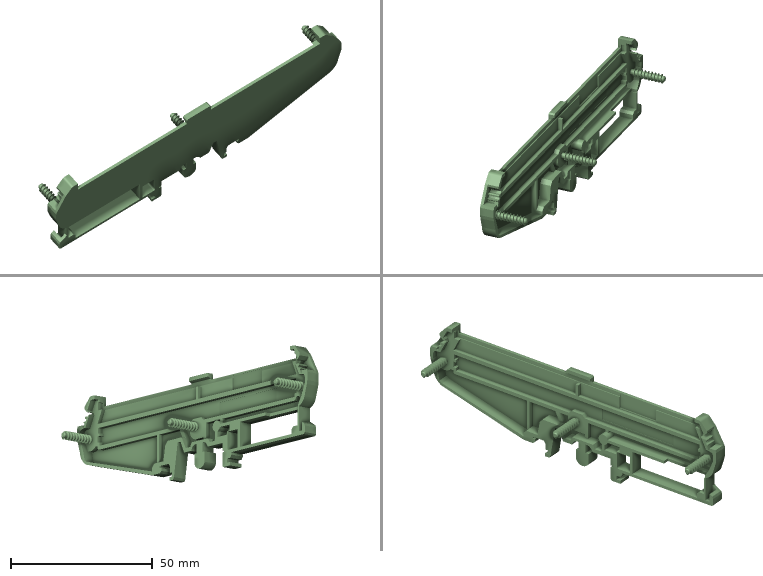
import cadquery as cq
THICKNESS = 5.3
PAD_LEVEL = 2.3
PANEL_LEVEL = 3.8
FLOOR_LEVEL = 4.1
LABEL_LEVEL = 4.3

CLEAR = 1.3

RAIL_TOP = 34.1
RAIL_BOTTOM = 32.6
MID_RIB_TOP = 27.7
MID_RIB_BOTTOM = 26.2
LOW_RIB_TOP = 19.7
LOW_RIB_BOTTOM = 18.3
HALF_LENGTH = 62.7
ARM_Y = 53.2
ARM_TOP = 37.6
EAR_BOTTOM = 27.8
EAR_CORNER = 26.8

TAB_HALF_LENGTH = 5.3
TAB_TOP = 36.5
TAB_FRONT = 3.0
TAB_BOTTOM = 35.1
TAB_LIP = 34.5
TAB_CHAMFER = 0.5

POST_Y = -13.2
POST_Z = 15.4
POST_RADIUS = 2.0
NECK_HALF_WIDTH = 0.6
NECK_FOOT = 10.3
SHELF_TOP = 15.9
SHELF_BOTTOM = 14.8
SHELF_STEP_Y = -39.9
SHELF_END_Y = -57.7
CENTRE_RIB_HALF_WIDTH = 0.56
CENTRE_RIB_TOP = 32.2

CATCH_Y = -58.0
CATCH_SLOT_WIDTH = 1.8
CATCH_SLOT_FLOOR = 6.1
SILL = 5.8
WINDOW_FILLET = 0.6

END_SCREW = (57.8, 22.6)
CENTRE_SCREW = (0.0, 17.5)
SCREW_PLACES = [END_SCREW, CENTRE_SCREW, (-END_SCREW[0], END_SCREW[1])]
SCREW_TIP = -10.8
SCREW_SEAT = 3.8
CORE_RADIUS = 1.07
CREST_RADIUS = 1.6
TIP_CHAMFER = 0.31
THREAD_TURNS = 9
THREAD_ROOT_WIDTH = 0.6
THREAD_CREST_WIDTH = 0.19
THREAD_SINK = 0.1
THREAD_MARGIN = 0.4


def slab(outline, front, back):
    """Extrude a closed (Y, Z) outline, point list or workplane wire, from X = front to X = back."""
    if isinstance(outline, list):
        outline = cq.Workplane("YZ").polyline(outline).close()
    return outline.extrude(back - front).translate((front, 0, 0))


def block(y0, y1, z0, z1, front, back):
    """Box from its limits along Y, Z and X."""
    return slab([(y0, z0), (y1, z0), (y1, z1), (y0, z1)], front, back)


def mirrored(points):
    """The same points on the other side of Y = 0, in reverse order."""
    return [(-y, z) for y, z in reversed(points)]


def both_ends(shape):
    return shape.union(shape.mirror("XZ"))


def body_block():
    """Full-depth block with the whole outer outline of the housing."""
    outline = (
        cq.Workplane("YZ")
        .moveTo(ARM_Y, RAIL_TOP)
        .lineTo(ARM_Y, ARM_TOP)
        .lineTo(54.9, ARM_TOP)
        .threePointArc((55.5, 37.5), (56.0, 37.1))
        .lineTo(58.5, 34.4)
        .lineTo(62.3, EAR_BOTTOM)
        .lineTo(HALF_LENGTH, EAR_CORNER)
        .lineTo(HALF_LENGTH, 23.8)
        .lineTo(62.5, 22.5)
        .lineTo(61.2, 18.3)
        .threePointArc((60.0, 15.2), (57.7, 13.3))
        .lineTo(21.8, 3.5)
        .lineTo(17.5, 3.5)
        .lineTo(16.8, 4.3)
        .lineTo(16.8, 5.3)
        .lineTo(17.7, 5.5)
        .lineTo(17.7, 6.1)
        .lineTo(12.8, 6.1)
        .lineTo(12.2, 5.0)
        .lineTo(12.2, 2.8)
        .lineTo(10.9, 2.8)
        .lineTo(10.9, 1.3)
        .lineTo(12.3, 1.3)
        .lineTo(12.3, 0.0)
        .lineTo(10.4, 0.0)
        .lineTo(9.9, 0.9)
        .lineTo(7.9, 13.0)
        .lineTo(6.4, 13.0)
        .lineTo(4.4, 8.8)
        .lineTo(0.5, 8.8)
        .threePointArc((-0.5, 10.3), (-2.4, 10.8))
        .lineTo(-2.4, 7.4)
        .lineTo(-1.3, 7.4)
        .lineTo(-1.3, 3.6)
        .threePointArc((-4.0, 1.6), (-6.8, 3.6))
        .lineTo(-6.8, 7.4)
        .lineTo(-5.5, 7.4)
        .lineTo(-5.5, 10.8)
        .threePointArc((-7.4, 10.3), (-8.4, 8.8))
        .lineTo(-16.4, 8.8)
        .lineTo(-16.4, 6.1)
        .lineTo(-17.4, 6.1)
        .lineTo(-17.4, 5.4)
        .lineTo(-16.4, 5.4)
        .lineTo(-16.4, 0.5)
        .lineTo(-16.9, 0.0)
        .lineTo(-20.7, 0.0)
        .lineTo(-20.7, 1.3)
        .lineTo(-19.0, 1.3)
        .lineTo(-19.0, 2.8)
        .lineTo(-20.7, 2.8)
        .lineTo(-21.5, 3.8)
        .lineTo(-21.3, 4.6)
        .lineTo(-60.8, 4.6)
        .lineTo(-61.3, 5.3)
        .lineTo(-61.3, 7.6)
        .lineTo(-61.0, 8.5)
        .lineTo(CATCH_Y, 10.3)
        .lineTo(CATCH_Y, 15.2)
        .threePointArc((-60.1, 16.4), (-61.2, 18.3))
        .lineTo(-62.5, 22.5)
        .lineTo(-HALF_LENGTH, 23.8)
        .lineTo(-HALF_LENGTH, EAR_CORNER)
        .lineTo(-62.3, EAR_BOTTOM)
        .lineTo(-58.5, 34.4)
        .lineTo(-56.0, 37.1)
        .threePointArc((-55.5, 37.5), (-54.9, ARM_TOP))
        .lineTo(-ARM_Y, ARM_TOP)
        .lineTo(-ARM_Y, RAIL_TOP)
        .close()
    )
    return slab(outline, 0, THICKNESS)


ARM_RECESS = [(ARM_Y - CLEAR, 36.2), (55.3, 36.2), (57.0, 32.9), (56.5, 32.1)]
SPRING_INNER_SIDE = [(55.9, 31.2), (58.2, 26.7)]
RIM_SHOULDER = [(60.2, 26.5), (61.0, 26.1), (61.3, 25.3), (61.3, 23.1)]
SLOPE_CORNERS = [(58.5, 15.0), (57.4, 14.3), (21.8, 4.9)]
ARCH_LEFT = [(5.8, 14.5), (3.5, 10.3), (1.0, 10.3), (0.4, 11.8)]
ARCH_RIGHT = [(-8.7, 11.8), (-9.5, 10.3), (-12.0, 10.3), (-12.7, 11.4)]
LEG_CORNERS = [(-18.8, 11.4), (-19.0, 12.7), (-20.3, 12.7), (-20.3, SHELF_BOTTOM)]
END_RIM_LOW = (59.5, 18.7)
PAD_ARC_MID = (57.3, 18.5)
PAD_CORNER = (55.3, LOW_RIB_TOP)


def main_recess():
    """Everything inside the rim, down to the pads and ribs."""
    upper_end = ARM_RECESS + SPRING_INNER_SIDE + RIM_SHOULDER + [END_RIM_LOW]
    left_foot = [(21.8, 6.3), (20.6, 7.5), (15.7, 7.5), (14.7, 13.0), (13.4, 14.5)]
    outline = (
        upper_end + SLOPE_CORNERS + left_foot + ARCH_LEFT + ARCH_RIGHT + LEG_CORNERS
        + [(SHELF_END_Y, SHELF_BOTTOM), (SHELF_END_Y, SHELF_TOP)] + mirrored(upper_end)
    )
    return slab(outline, -CLEAR, PAD_LEVEL)


def ear_recess():
    """Ear pocket; its inner edge leaves a thin slanted spring bar with two teeth."""
    ear_end = HALF_LENGTH + CLEAR
    spring_teeth = [
        (56.9, 30.6), (57.8, 30.7), (58.3, 30.5), (58.3, 30.0), (57.5, 29.6),
        (58.0, 29.0), (59.1, 29.0), (59.1, 28.6), (58.7, 28.2), (59.3, 26.7),
    ]
    outline = (
        [(58.5, 35.1), (58.5, 33.5), (57.4, 32.2), (56.5, 32.1), (55.9, 31.2)] + spring_teeth
        + [(59.8, 27.2), (59.8, EAR_BOTTOM), (ear_end, EAR_BOTTOM), (ear_end, 35.1)]
    )
    return both_ends(slab(outline, -CLEAR, FLOOR_LEVEL))


def rail_recess():
    rail_end = 53.8
    return block(-rail_end, rail_end, RAIL_BOTTOM, RAIL_TOP + CLEAR, -CLEAR, FLOOR_LEVEL)


def upper_pocket():
    end = [(51.8, RAIL_BOTTOM), (54.2, MID_RIB_TOP)]
    return slab(end + mirrored(end), -CLEAR, PANEL_LEVEL)


def middle_pocket():
    """Long pocket between the ribs, keyed at both ends, with a hump over the centre screw."""
    key = [
        (53.8, MID_RIB_BOTTOM), (53.8, 24.2), (53.0, 24.2), (53.0, 23.2), (54.2, 23.2),
        (54.2, 21.0), (53.0, 21.0), (53.0, LOW_RIB_TOP),
    ]
    hump = [(3.5, LOW_RIB_TOP), (2.3, 20.8)]
    return slab(key + hump + mirrored(hump) + mirrored(key), -CLEAR, FLOOR_LEVEL)


def slope_pocket():
    """Triangular pocket above the sloping underside."""
    outline = (
        cq.Workplane("YZ")
        .moveTo(*END_RIM_LOW)
        .threePointArc(PAD_ARC_MID, PAD_CORNER)
        .lineTo(54.2, LOW_RIB_TOP)
        .lineTo(54.2, 18.7)
        .lineTo(53.3, LOW_RIB_BOTTOM)
        .lineTo(21.8, LOW_RIB_BOTTOM)
    )
    for corner in reversed(SLOPE_CORNERS):
        outline = outline.lineTo(*corner)
    return slab(outline.close(), PAD_LEVEL, FLOOR_LEVEL)


def foot_pocket():
    outline = [
        (20.7, LOW_RIB_BOTTOM), (9.5, LOW_RIB_BOTTOM), (7.6, 14.5), (13.4, 14.5),
        (14.7, 13.0), (15.7, 7.5), (20.7, 7.5),
    ]
    return slab(outline, PAD_LEVEL, FLOOR_LEVEL)


def arch_pocket():
    """Pocket that wraps round the pad of the centre screw."""
    outline = (
        cq.Workplane("YZ")
        .moveTo(-3.6, 11.8)
        .lineTo(-3.6, 13.3)
        .lineTo(0.8, 13.3)
        .threePointArc((3.0, 14.4), (3.9, 16.4))
        .lineTo(3.9, LOW_RIB_BOTTOM)
        .lineTo(7.9, LOW_RIB_BOTTOM)
    )
    for corner in ARCH_LEFT[1:]:
        outline = outline.lineTo(*corner)
    return slab(outline.close(), PAD_LEVEL, FLOOR_LEVEL)


def shelf_pocket():
    """Pocket from the centre rib to the right end, above and below the shelf."""
    rib_side = -4.8
    outline = (
        cq.Workplane("YZ")
        .moveTo(rib_side, ARCH_RIGHT[0][1])
        .lineTo(rib_side, LOW_RIB_BOTTOM)
        .lineTo(-53.3, LOW_RIB_BOTTOM)
        .lineTo(-54.2, LOW_RIB_TOP)
        .lineTo(-PAD_CORNER[0], PAD_CORNER[1])
        .threePointArc((-PAD_ARC_MID[0], PAD_ARC_MID[1]), (-END_RIM_LOW[0], END_RIM_LOW[1]))
        .lineTo(SHELF_END_Y, SHELF_TOP)
        .lineTo(SHELF_END_Y, SHELF_BOTTOM)
    )
    for corner in reversed(ARCH_RIGHT + LEG_CORNERS):
        outline = outline.lineTo(*corner)
    return slab(outline.close(), PAD_LEVEL, FLOOR_LEVEL)


def label_fields():
    depth = (PAD_LEVEL, LABEL_LEVEL)
    upper = block(-33.5, -17.5, 28.1, 33.5, *depth)
    lower = block(-41.0, -9.9, 20.6, 25.1, *depth)
    return upper.union(lower)


def windows():
    """Two windows through the frame below the shelf, and the slot in the end catch."""
    through = THICKNESS + CLEAR
    small = block(-24.8, -19.2, SILL, 12.4, -CLEAR, through)
    small = small.edges("|X and >Y").edges("<Z").fillet(WINDOW_FILLET)
    large = slab(
        [
            (-26.0, SILL), (-26.0, SHELF_BOTTOM), (-57.3, SHELF_BOTTOM), (-57.3, 8.4),
            (-55.0, 8.4), (-54.2, 7.5), (-54.2, SILL),
        ],
        -CLEAR, through,
    )
    slot_side = CATCH_Y - CATCH_SLOT_WIDTH
    catch_slot = block(slot_side, CATCH_Y, CATCH_SLOT_FLOOR, 11.3, -CLEAR, FLOOR_LEVEL)
    return small.union(large).union(catch_slot)


def centre_rib():
    half = CENTRE_RIB_HALF_WIDTH
    return block(-half, half, MID_RIB_TOP, CENTRE_RIB_TOP, PAD_LEVEL, THICKNESS)


def post_and_shelf():
    post = slab(cq.Workplane("YZ").center(POST_Y, POST_Z).circle(POST_RADIUS), 0, THICKNESS)
    left, right = POST_Y + NECK_HALF_WIDTH, POST_Y - NECK_HALF_WIDTH
    upper_neck = block(right, left, POST_Z, LOW_RIB_BOTTOM, PAD_LEVEL, THICKNESS)
    lower_neck = block(right, left, NECK_FOOT, POST_Z, 0, THICKNESS)
    high_shelf = block(SHELF_STEP_Y, POST_Y, SHELF_BOTTOM, SHELF_TOP, 0, THICKNESS)
    low_shelf = block(SHELF_END_Y, SHELF_STEP_Y, SHELF_BOTTOM, SHELF_TOP, PAD_LEVEL, THICKNESS)
    return post.union(upper_neck).union(lower_neck).union(high_shelf).union(low_shelf)


def rail_tab():
    """Tab on top of the rail, overhanging it towards the open face."""
    profile = [
        (THICKNESS, RAIL_TOP), (FLOOR_LEVEL, RAIL_TOP), (FLOOR_LEVEL, TAB_LIP),
        (TAB_FRONT, TAB_BOTTOM), (TAB_FRONT, TAB_TOP), (THICKNESS, TAB_TOP),
    ]
    tab = cq.Workplane("XZ").polyline(profile).close().extrude(TAB_HALF_LENGTH, both=True)
    return tab.faces(">Z").edges("|X").chamfer(TAB_CHAMFER)


def screw_holes():
    places = cq.Workplane("YZ").pushPoints(SCREW_PLACES).circle(CORE_RADIUS)
    return slab(places, PAD_LEVEL - CLEAR, SCREW_SEAT)


def make_housing():
    housing = body_block()
    for recess in (
        main_recess(), ear_recess(), rail_recess(), upper_pocket(), middle_pocket(),
        slope_pocket(), foot_pocket(), arch_pocket(), shelf_pocket(), label_fields(),
    ):
        housing = housing.cut(recess)
    for detail in (centre_rib(), post_and_shelf(), rail_tab()):
        housing = housing.union(detail)
    return housing.cut(windows()).cut(screw_holes())


def make_screw():
    """Threaded screw along +Z with its tip at the origin, turned to lie along +X."""
    core = cq.Workplane("XY").circle(CORE_RADIUS).extrude(SCREW_SEAT - SCREW_TIP)
    core = core.faces("<Z").chamfer(TIP_CHAMFER)
    exposed = PAD_LEVEL - SCREW_TIP
    height = exposed - 2 * THREAD_MARGIN - THREAD_ROOT_WIDTH
    path = cq.Wire.makeHelix(height / THREAD_TURNS, height, CORE_RADIUS)
    root, crest = THREAD_ROOT_WIDTH / 2, THREAD_CREST_WIDTH / 2
    inner = CORE_RADIUS - THREAD_SINK
    profile = [(inner, -root), (CREST_RADIUS, -crest), (CREST_RADIUS, crest), (inner, root)]
    thread = cq.Workplane("XZ").polyline(profile).close().sweep(cq.Workplane(path), isFrenet=True)
    screw = core.union(thread.translate((0, 0, THREAD_MARGIN + root)))
    return screw.rotate((0, 0, 0), (0, 1, 0), 90)


housing = make_housing()
screw = make_screw()
screws = [screw.translate((SCREW_TIP, y, z)).val() for y, z in SCREW_PLACES]

result = cq.Compound.makeCompound([housing.val(), *screws])